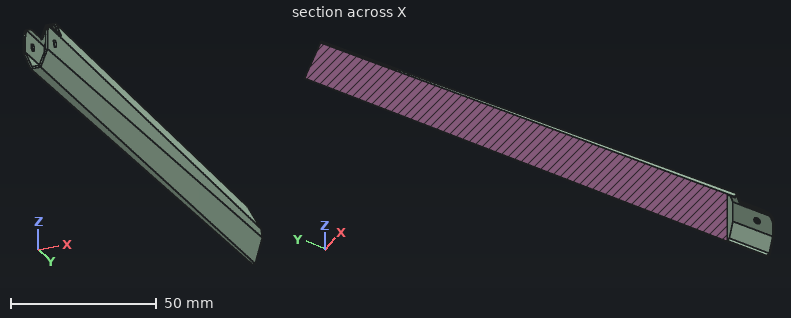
import cadquery as cq

length = 184.8
width = 9.0
height = 21.8
mid_height = height / 2

mouth_flat_width = 3.9
mouth_side_height = 9.0
tip_height = 18.8
tip_flat_width = 1.3
tip_side_height = 2.8

tip_setback = 6.5

wall = 0.7
pocket_flat_width = 2.8
notch_length = 13.0
pocket_length = 15.9
side_wall_top = 16.6
corner_radius = 4.6

hole_diameter = 2.4
hole_y = 6.3
hole_z = 10.9


def section(y, across, tall, flat_width, side_height):
    """Eight-sided wire in the plane at y, symmetric about the bar's centre line."""
    half_across = across / 2
    half_tall = tall / 2
    half_flat = flat_width / 2
    half_side = side_height / 2
    outline = [
        (half_flat, half_tall),
        (half_across, half_side),
        (half_across, -half_side),
        (half_flat, -half_tall),
        (-half_flat, -half_tall),
        (-half_across, -half_side),
        (-half_across, half_side),
        (-half_flat, half_tall),
    ]
    points = [cq.Vector(x, y, mid_height + z) for x, z in outline]
    return cq.Wire.makePolygon(points, close=True)


def tapered_bar():
    mouth = section(0, width, height, mouth_flat_width, mouth_side_height)
    tip = section(length, width, tip_height, tip_flat_width, tip_side_height)
    return cq.Workplane(cq.Solid.makeLoft([mouth, tip], True))


def tip_cutter():
    """Wedge beyond the slanted end face."""
    bottom_z = mid_height - tip_height / 2
    rise = height - bottom_z
    setback = tip_setback * rise / tip_height
    wedge = [(length, bottom_z), (length, height), (length - setback, height)]
    return cq.Workplane("YZ").polyline(wedge).close().extrude(width, both=True)


def pocket():
    """Straight pocket inside the walls, open at the mouth."""
    inner = section(
        0,
        width - 2 * wall,
        height - 2 * wall,
        pocket_flat_width,
        mouth_side_height - wall / 2,
    )
    return cq.Workplane(cq.Solid.extrudeLinear(inner, [], cq.Vector(0, pocket_length, 0)))


def mouth_notch():
    """Space above the side walls, with their front top corners rounded off."""
    profile = (
        cq.Workplane("YZ")
        .moveTo(0, height)
        .lineTo(0, side_wall_top - corner_radius)
        .radiusArc((corner_radius, side_wall_top), corner_radius)
        .lineTo(notch_length, side_wall_top)
        .lineTo(notch_length, height)
        .close()
    )
    return profile.extrude(width, both=True)


def cross_hole():
    return (
        cq.Workplane("YZ")
        .center(hole_y, hole_z)
        .circle(hole_diameter / 2)
        .extrude(width, both=True)
    )


result = tapered_bar().cut(tip_cutter()).cut(pocket()).cut(mouth_notch()).cut(cross_hole())